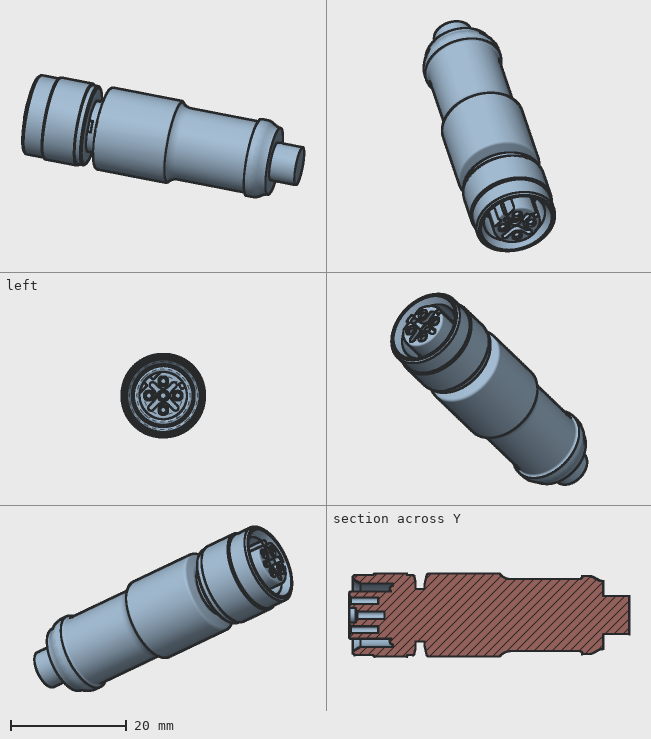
import cadquery as cq
import math

TOTAL_LENGTH = 48.5
CUT_MARGIN = 1.0

INSERT_R = 8.2 / 2
INSERT_EDGE_FILLET = 0.3
FLAT_DISTANCE = 3.2
KEY_WIDTH = 1.45
KEY_ANGLE = 135
NOTCH_DISTANCE = 3.3
NOTCH_WIDTH = 1.0
NOTCH_ANGLE = 28

CONTACT_PITCH_R = 2.5
CONTACT_COUNT = 4
CONTACT_D = 1.1
CENTER_D = 1.2
CONTACT_MOUTH_D = 1.7
CENTER_MOUTH_D = 1.9
CONTACT_DEPTH = 5.0

CROSS_ARM_ANGLES = (45, 135, 225, 315)
CROSS_WIDTH = 1.0
CROSS_DEPTH = 1.1
CROSS_UPPER_REACH = 2.6
CROSS_LOWER_REACH = 3.0
CROSS_INNER_FILLET = 1.25

NUT_FRONT_X = 0.58
NUT_STEP_X = 4.4
NUT_GRIP_END_X = 10.0
NUT_GRIP_BEVEL = 0.1
NUT_END_X = 11.3
NUT_R = 14.0 / 2
NUT_GRIP_R = 14.5 / 2
NUT_CHAMFER = 0.37
NUT_REAR_CHAMFER = 0.25
NUT_LEAD_R = 12.6 / 2
NUT_BORE_R = 10.9 / 2
NUT_LEAD_END_X = 2.0
SOCKET_FLOOR_X = 7.5
NUT_COLLAR_R = 5.9
NUT_COLLAR_END_X = 11.5

SEAL_SECTION_R = 0.5
SEAL_CENTER_R = INSERT_R + SEAL_SECTION_R

NECK_R = 9.2 / 2
WINDOW_END_X = 12.1
WINDOW_WIDTH = 2.0
WINDOW_DEPTH = 0.4
WINDOW_COUNT = 4
WINDOW_START_ANGLE = 45

GRIP_FRONT_X = 13.0
GRIP_FACE_R = 5.3
GRIP_SHOULDER_X = 13.35
GRIP_SHOULDER_R = 6.85
GRIP_FULL_X = 13.85
GRIP_R = 14.5 / 2
GRIP_END_X = 25.9
TAPER_START_X = 26.2
TAPER_START_R = 7.05
SLEEVE_START_X = 27.9
SLEEVE_R = 12.6 / 2
SLEEVE_END_X = 39.9

COLLAR_X = 40.35
COLLAR_R = 13.6 / 2
COLLAR_TAPER_X = 41.5
COLLAR_END_X = 44.0
COLLAR_END_R = 5.9
CABLE_R = 6.7 / 2


def cylinder_x(radius, x_start, x_end):
    """Solid cylinder on the X axis."""
    return cq.Workplane("YZ", origin=(x_start, 0, 0)).circle(radius).extrude(x_end - x_start)


def box_x(x_start, x_end, u_start, u_end, width, angle):
    """Box along X; it spans u_start..u_end radially, in the direction at angle from -Y toward +Z."""
    box = cq.Workplane("XY").box(x_end - x_start, u_end - u_start, width)
    box = box.translate(((x_start + x_end) / 2, -(u_start + u_end) / 2, 0))
    return box.rotate((0, 0, 0), (1, 0, 0), -angle)


def taper_middle():
    """Middle point of the concave taper arc, which runs tangent into the sleeve."""
    length = SLEEVE_START_X - TAPER_START_X
    drop = TAPER_START_R - SLEEVE_R
    arc_r = (length**2 + drop**2) / (2 * drop)
    half_angle = math.asin(length / arc_r) / 2
    x = SLEEVE_START_X - arc_r * math.sin(half_angle)
    return (x, SLEEVE_R + arc_r * (1 - math.cos(half_angle)))


def make_housing():
    """Nut, neck, grip body and cable as one turned solid."""
    fillet_r = COLLAR_X - SLEEVE_END_X
    profile = (
        cq.Workplane("XY")
        .moveTo(SOCKET_FLOOR_X, 0)
        .lineTo(SOCKET_FLOOR_X, NUT_BORE_R)
        .lineTo(NUT_LEAD_END_X, NUT_BORE_R)
        .lineTo(NUT_FRONT_X, NUT_LEAD_R)
        .lineTo(NUT_FRONT_X, NUT_R - NUT_CHAMFER)
        .lineTo(NUT_FRONT_X + NUT_CHAMFER, NUT_R)
        .lineTo(NUT_STEP_X - (NUT_GRIP_R - NUT_R), NUT_R)
        .lineTo(NUT_STEP_X, NUT_GRIP_R)
        .lineTo(NUT_GRIP_END_X, NUT_GRIP_R)
        .lineTo(NUT_GRIP_END_X + NUT_GRIP_BEVEL, NUT_R)
        .lineTo(NUT_END_X - NUT_REAR_CHAMFER, NUT_R)
        .lineTo(NUT_END_X, NUT_R - NUT_REAR_CHAMFER)
        .lineTo(NUT_COLLAR_END_X, NUT_COLLAR_R)
        .lineTo(NUT_COLLAR_END_X, NECK_R)
        .lineTo(GRIP_FRONT_X, NECK_R)
        .lineTo(GRIP_FRONT_X, GRIP_FACE_R)
        .lineTo(GRIP_SHOULDER_X, GRIP_SHOULDER_R)
        .tangentArcPoint((GRIP_FULL_X, GRIP_R), relative=False)
        .lineTo(GRIP_END_X, GRIP_R)
        .tangentArcPoint((TAPER_START_X, TAPER_START_R), relative=False)
        .threePointArc(taper_middle(), (SLEEVE_START_X, SLEEVE_R))
        .lineTo(SLEEVE_END_X, SLEEVE_R)
        .tangentArcPoint((COLLAR_X, SLEEVE_R + fillet_r), relative=False)
        .lineTo(COLLAR_X, COLLAR_R)
        .lineTo(COLLAR_TAPER_X, COLLAR_R)
        .spline([(COLLAR_END_X, COLLAR_END_R)], tangents=[(1, 0), (1, 0)], includeCurrent=True)
        .lineTo(COLLAR_END_X, CABLE_R)
        .lineTo(TOTAL_LENGTH, CABLE_R)
        .lineTo(TOTAL_LENGTH, 0)
        .close()
    )
    return profile.revolve(360, (0, 0, 0), (1, 0, 0))


def make_seal():
    """Sealing ring around the insert, half sunk into the socket floor."""
    ring = cq.Workplane("XY").center(SOCKET_FLOOR_X, SEAL_CENTER_R).circle(SEAL_SECTION_R)
    return ring.revolve(360, (0, -SEAL_CENTER_R, 0), (1, -SEAL_CENTER_R, 0))


def make_cross():
    """Four-armed recess with rounded arm ends and rounded inner corners."""
    cross = cq.Workplane("YZ")
    for angle in CROSS_ARM_ANGLES:
        reach = CROSS_UPPER_REACH if angle < 180 else CROSS_LOWER_REACH
        arm = box_x(0, CROSS_DEPTH, 0, reach, CROSS_WIDTH, angle)
        radians = math.radians(angle)
        end_y = -reach * math.cos(radians)
        end_z = reach * math.sin(radians)
        end = cylinder_x(CROSS_WIDTH / 2, 0, CROSS_DEPTH).translate((0, end_y, end_z))
        cross = cross.union(arm).union(end)
    limit = CROSS_WIDTH
    inner = cq.selectors.BoxSelector((0, -limit, -limit), (CROSS_DEPTH, limit, limit))
    return cross.edges("|X").edges(inner).fillet(CROSS_INNER_FILLET)


def make_contact(x_face, bore_d, mouth_d):
    """Contact bore on the X axis with a 45 degree mouth."""
    mouth_depth = (mouth_d - bore_d) / 2
    bore = cylinder_x(bore_d / 2, x_face, x_face + CONTACT_DEPTH)
    mouth = (
        cq.Workplane("YZ", origin=(x_face, 0, 0))
        .circle(mouth_d / 2)
        .workplane(offset=mouth_depth)
        .circle(bore_d / 2)
        .loft()
    )
    return bore.union(mouth)


def make_insert():
    """Contact insert with key, coding notch, cross recess and contact bores."""
    insert = cylinder_x(INSERT_R, 0, SOCKET_FLOOR_X).faces("<X").edges().fillet(INSERT_EDGE_FILLET)
    outer_r = INSERT_R + CUT_MARGIN
    flat = box_x(0, SOCKET_FLOOR_X, FLAT_DISTANCE, outer_r, 2 * INSERT_R, KEY_ANGLE)
    key = box_x(0, SOCKET_FLOOR_X, 0, outer_r, KEY_WIDTH, KEY_ANGLE)
    notch = box_x(0, SOCKET_FLOOR_X, NOTCH_DISTANCE, outer_r, NOTCH_WIDTH, NOTCH_ANGLE)
    insert = insert.cut(flat.cut(key)).cut(notch)
    insert = insert.cut(make_cross())
    insert = insert.cut(make_contact(CROSS_DEPTH, CENTER_D, CENTER_MOUTH_D))
    for index in range(CONTACT_COUNT):
        contact = make_contact(0, CONTACT_D, CONTACT_MOUTH_D).translate((0, CONTACT_PITCH_R, 0))
        insert = insert.cut(contact.rotate((0, 0, 0), (1, 0, 0), index * 360 / CONTACT_COUNT))
    return insert


def cut_windows(body):
    """Shallow latch windows around the neck, next to the nut."""
    for index in range(WINDOW_COUNT):
        angle = WINDOW_START_ANGLE + index * 360 / WINDOW_COUNT
        floor_r = NECK_R - WINDOW_DEPTH
        outer_r = NECK_R + CUT_MARGIN
        window = box_x(NUT_COLLAR_END_X, WINDOW_END_X, floor_r, outer_r, WINDOW_WIDTH, angle)
        body = body.cut(window)
    return body


result = cut_windows(make_housing()).union(make_insert()).union(make_seal())